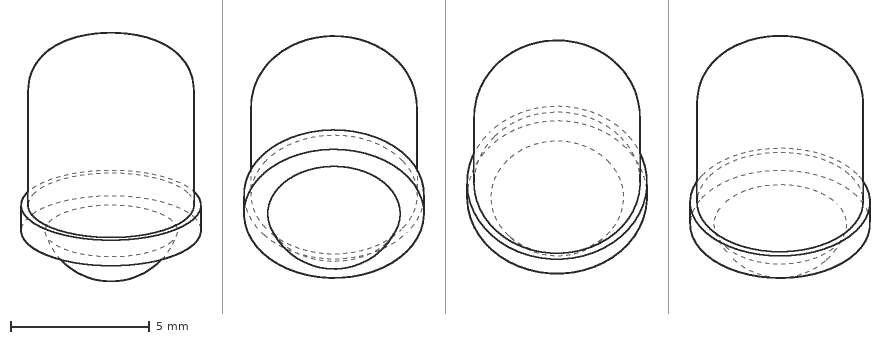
import cadquery as cq

total_height = 8.79
body_diameter = 6.0
collar_diameter = 6.505
collar_height = 1.0
sleeve_height = 7.01
top_round_radius = 1.5
ball_radius = 2.5

ball_protrusion = total_height - sleeve_height
ball_center_z = ball_radius - ball_protrusion


def make_body():
    """Cylindrical sleeve with a generously rounded top edge."""
    body = cq.Workplane("XY").circle(body_diameter / 2).extrude(sleeve_height)
    return body.faces(">Z").edges().fillet(top_round_radius)


def make_collar():
    """Wider ring at the lower end of the sleeve."""
    return cq.Workplane("XY").circle(collar_diameter / 2).extrude(collar_height)


def make_ball():
    """Ball seated in the sleeve, with its cap showing below the collar."""
    return cq.Workplane("XY").sphere(ball_radius).translate((0, 0, ball_center_z))


result = make_body().union(make_collar()).union(make_ball())